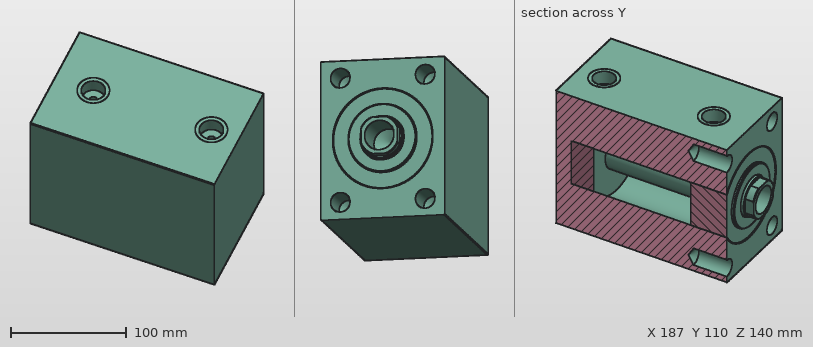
import cadquery as cq
import math


total_length = 187.0
block_length = 173.0
block_width = 110.0
block_height = 140.0
edge_chamfer = 0.7

bore_diameter = 87.5
bore_depth = 157.0
bore_chamfer = 0.7

mount_diameter = 17.2
mount_depth = 33.7
mount_spacing_y = 75.2
mount_spacing_z = 109.8

port_positions = (36.0, 147.0)
spotface_diameter = 28.0
spotface_depth = 0.2
port_diameter = 21.0
port_depth = 13.0
passage_diameter = 6.5

gland_depth = 37.0
boss_diameter = 60.5
boss_height = 2.8
boss_chamfer = 1.0

recess_diameter = 39.0
recess_depth = 3.7

rod_diameter = 37.0
shoulder_height = 2.8
shoulder_chamfer = 0.5
nose_diameter = 35.5
nose_chamfer = 0.5
across_flats = 32.4
socket_diameter = 26.0
socket_depth = 37.4
piston_length = 22.5

drill_point_angle = 118.0

bore_radius = bore_diameter / 2
rod_radius = rod_diameter / 2
nose_tip = block_length - total_length
boss_face = -boss_height
shoulder_face = boss_face - shoulder_height


def revolve_about_x(points):
    """Revolve a closed (x, radius) outline about the X axis."""
    return cq.Workplane("XZ").polyline(points).close().revolve(360, (0, 0, 0), (1, 0, 0))


def drilled_hole(diameter, start, depth):
    """Drill shape along +X from x = start, with a conical point beyond its full depth."""
    radius = diameter / 2
    full_end = start + depth
    point_length = radius / math.tan(math.radians(drill_point_angle / 2))
    return revolve_about_x([
        (start, 0),
        (start, radius),
        (full_end, radius),
        (full_end + point_length, 0),
    ])


def vertical_hole(x, diameter, top, bottom):
    """Round cutter at x on the centre plane, between two heights."""
    return cq.Workplane("XY", origin=(x, 0, bottom)).circle(diameter / 2).extrude(top - bottom)


def make_housing():
    housing = (
        cq.Workplane("XY")
        .box(block_length, block_width, block_height, centered=(False, True, True))
        .edges("|X")
        .chamfer(edge_chamfer)
    )

    bore = revolve_about_x([
        (0, 0),
        (0, bore_radius + bore_chamfer),
        (bore_chamfer, bore_radius),
        (bore_depth, bore_radius),
        (bore_depth, 0),
    ])
    housing = housing.cut(bore)

    mount_drill = drilled_hole(mount_diameter, 0, mount_depth)
    for side_y in (-1, 1):
        for side_z in (-1, 1):
            offset = (0, side_y * mount_spacing_y / 2, side_z * mount_spacing_z / 2)
            housing = housing.cut(mount_drill.translate(offset))

    top = block_height / 2
    for x in port_positions:
        housing = housing.cut(vertical_hole(x, spotface_diameter, top, top - spotface_depth))
        housing = housing.cut(vertical_hole(x, port_diameter, top, top - port_depth))
        housing = housing.cut(vertical_hole(x, passage_diameter, top, 0))
    return housing


def make_gland():
    boss_radius = boss_diameter / 2
    recess_radius = recess_diameter / 2
    recess_floor = boss_face + recess_depth
    return revolve_about_x([
        (boss_face, recess_radius),
        (boss_face, boss_radius - boss_chamfer),
        (boss_face + boss_chamfer, boss_radius),
        (0, boss_radius),
        (0, bore_radius),
        (gland_depth, bore_radius),
        (gland_depth, rod_radius),
        (recess_floor, rod_radius),
        (recess_floor, recess_radius),
    ])


def make_nose():
    """Rod end with four wrench flats."""
    radius = nose_diameter / 2
    round_nose = revolve_about_x([
        (nose_tip, 0),
        (nose_tip, radius - nose_chamfer),
        (nose_tip + nose_chamfer, radius),
        (shoulder_face, radius),
        (shoulder_face, 0),
    ])
    nose_length = shoulder_face - nose_tip
    flats = (
        cq.Workplane("YZ", origin=(nose_tip, 0, 0))
        .rect(across_flats, across_flats)
        .extrude(nose_length)
    )
    return round_nose.intersect(flats)


def make_rod():
    piston_face = bore_depth - piston_length
    shaft = revolve_about_x([
        (shoulder_face, 0),
        (shoulder_face, rod_radius - shoulder_chamfer),
        (shoulder_face + shoulder_chamfer, rod_radius),
        (piston_face, rod_radius),
        (piston_face, bore_radius),
        (bore_depth, bore_radius),
        (bore_depth, 0),
    ])
    return shaft.union(make_nose()).cut(drilled_hole(socket_diameter, nose_tip, socket_depth))


housing = make_housing()
gland = make_gland()
rod = make_rod()

result = cq.Compound.makeCompound([housing.val(), gland.val(), rod.val()])